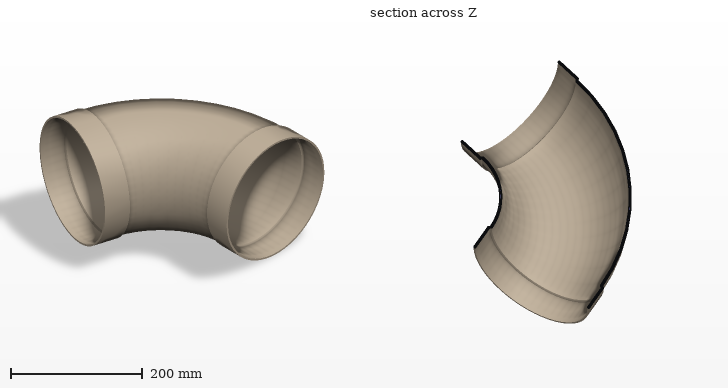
import cadquery as cq
import math

pipe_diameter = 200.0
pipe_bore = 193.5
collar_diameter = 206.0
collar_bore = pipe_diameter
collar_length = 43.0
socket_depth = 41.0
bend_angle = 75.0
bend_radius = pipe_diameter

bend_start = cq.Plane(origin=(0, 0, 0), xDir=(1, 0, 0), normal=(0, -1, 0))

angle = math.radians(bend_angle)
bend_end = cq.Plane(
    origin=(bend_radius * (1 - math.cos(angle)), bend_radius * math.sin(angle), 0),
    xDir=(0, 0, 1),
    normal=(math.sin(angle), math.cos(angle), 0),
)


def make_bend():
    """Thin-walled pipe swept around an axis parallel to Z."""
    return (
        cq.Workplane(bend_start)
        .circle(pipe_diameter / 2)
        .circle(pipe_bore / 2)
        .revolve(bend_angle, (bend_radius, 0), (bend_radius, -1))
    )


def make_collar(end_plane):
    """Socket collar, turned about the pipe axis, extending outward from one end of the bend."""
    section = cq.Plane(
        origin=end_plane.origin,
        xDir=end_plane.xDir,
        normal=end_plane.xDir.cross(end_plane.zDir),
    )
    profile = [
        (pipe_bore / 2, 0),
        (collar_diameter / 2, 0),
        (collar_diameter / 2, collar_length),
        (collar_bore / 2, collar_length),
        (collar_bore / 2, collar_length - socket_depth),
    ]
    return cq.Workplane(section).polyline(profile).close().revolve(360, (0, 0), (0, 1))


result = make_bend()
for plane in (bend_start, bend_end):
    result = result.union(make_collar(plane))